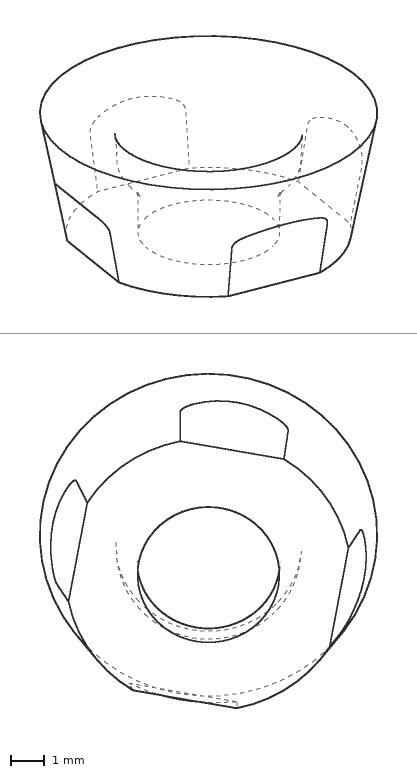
import cadquery as cq
import math

top_radius = 5.0
height = 3.97
relief_angle = 11.0
relief_slope = math.tan(math.radians(relief_angle))
bottom_radius = top_radius - height * relief_slope

dish_radius = 3.36
dish_depth = 0.42
ring_z = height - dish_depth

counterbore_radius = 2.79
seat_top_radius = 2.72
seat_bottom_radius = 2.12
hole_radius = 2.1
seat_angle = 40.0
seat_top_z = height - 1.73
seat_drop = (seat_top_radius - seat_bottom_radius) / math.tan(math.radians(seat_angle))
seat_bottom_z = seat_top_z - seat_drop
mouth_fillet = 0.31
seat_top_fillet = 0.5
seat_bottom_fillet = 0.3

flat_count = 4
flat_bottom_distance = 3.93
flat_height = 1.99
runout_angle = 45.0
runout_fillet = 0.75
cutter_reach = 1.5
cutter_width = 6.0


def make_body():
    """Revolve the complete round profile, with the bore edges rounded."""
    body = (
        cq.Workplane("XZ")
        .moveTo(hole_radius, 0)
        .lineTo(bottom_radius, 0)
        .lineTo(top_radius, height)
        .lineTo(dish_radius, ring_z)
        .lineTo(counterbore_radius, ring_z)
        .lineTo(seat_top_radius, seat_top_z)
        .lineTo(seat_bottom_radius, seat_bottom_z)
        .close()
        .revolve(360, (0, 0, 0), (0, 1, 0))
    )
    bore_edges = (
        (counterbore_radius, ring_z, mouth_fillet),
        (seat_top_radius, seat_top_z, seat_top_fillet),
        (seat_bottom_radius, seat_bottom_z, seat_bottom_fillet),
    )
    margin = 0.01
    for radius, z, fillet in bore_edges:
        reach = radius + margin
        edge = cq.selectors.BoxSelector(
            (-reach, -reach, z - margin), (reach, reach, z + margin), boundingbox=True
        )
        body = body.edges(edge).fillet(fillet)
    return body


def make_flat_cutter():
    """Wedge on the +X side whose inner wall leaves a flat and its rounded run-out."""
    flat_top_distance = flat_bottom_distance + flat_height * relief_slope
    outer_distance = flat_top_distance + cutter_reach
    runout_rise = cutter_reach / math.tan(math.radians(runout_angle))
    cutter = (
        cq.Workplane("XZ")
        .moveTo(flat_bottom_distance, 0)
        .lineTo(flat_top_distance, flat_height)
        .lineTo(outer_distance, flat_height + runout_rise)
        .lineTo(outer_distance, 0)
        .close()
        .extrude(cutter_width / 2, both=True)
    )
    corner = cq.selectors.NearestToPointSelector((flat_top_distance, 0, flat_height))
    return cutter.edges("|Y").edges(corner).fillet(runout_fillet)


result = make_body()
flat_cutter = make_flat_cutter()
for index in range(flat_count):
    angle = index * 360 / flat_count
    result = result.cut(flat_cutter.rotate((0, 0, 0), (0, 0, 1), angle))